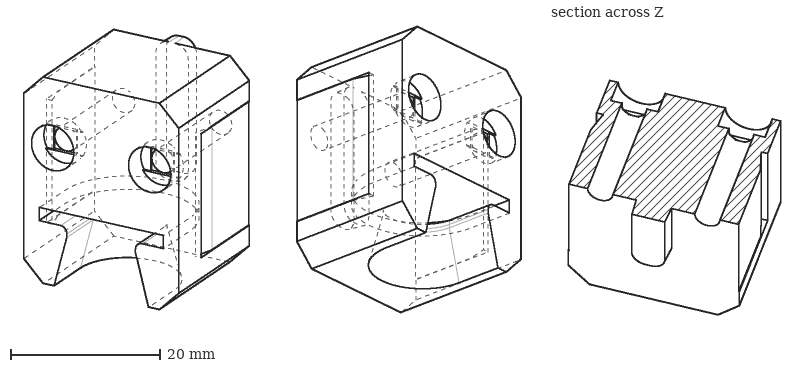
import cadquery as cq

block_width = 24.0
block_depth = 18.9
block_height = 30.0
corner_chamfer = 3.0

rail_length = 2.52
rail_width = 5.0
rail_height = 20.0
rail_taper = 0.18
rail_corner_radius = 1.98

screw_spacing = 15.0
screw_height = 20.0
screw_diameter = 3.48
head_diameter = 6.55
head_depth = 3.0
bridge_step = 0.3

slot_straight = 7.0
flange_radius = 9.6
flange_bottom = 9.0
flange_top = 10.92
mouth_radius = 7.3
neck_radius = 5.3
neck_bottom = 7.5
lip_radius = 1.0

grip_bottom = 6.0
grip_top = 24.0
grip_flat_length = 9.9
grip_ramp_length = 3.0
grip_shallow = 0.1
grip_deep = 0.9


def make_block():
    block = cq.Workplane("XY").box(block_width, block_depth, block_height, centered=(True, False, False))
    return block.edges("|Y").chamfer(corner_chamfer)


def make_rail():
    """Tapered bar on the rear face with rounded lengthwise edges."""
    root_middle = block_height - rail_height / 2
    tip_height = rail_height - rail_taper
    tip_middle = block_height - tip_height / 2
    bar = (
        cq.Workplane("XZ", origin=(0, block_depth, 0))
        .center(0, root_middle)
        .rect(rail_width, rail_height)
        .workplane(offset=-rail_length)
        .center(0, tip_middle - root_middle)
        .rect(rail_width - 2 * rail_taper, tip_height)
        .loft(ruled=True)
    )
    lengthwise_edges = bar.edges("not(<Y or >Y)")
    return lengthwise_edges.fillet(rail_corner_radius)


def make_screw_cutter(x):
    """Head recess, then a slot step, a square step and the through hole."""
    face = cq.Workplane("XZ", origin=(x, 0, screw_height))
    head = face.circle(head_diameter / 2).extrude(-head_depth)
    slot_end = head_depth + bridge_step
    square_end = slot_end + bridge_step
    slot_bar = face.rect(head_diameter, screw_diameter).extrude(-slot_end)
    slot_step = slot_bar.intersect(face.circle(head_diameter / 2).extrude(-slot_end))
    square_step = face.rect(screw_diameter, screw_diameter).extrude(-square_end)
    hole = face.circle(screw_diameter / 2).extrude(-block_depth)
    return head.union(slot_step).union(square_step).union(hole)


def slot_half_profile(plane):
    """Half section of the slot: flared mouth, neck, rounded lip and wide flange space."""
    lip_start = flange_bottom - lip_radius
    lip_middle = lip_radius * (1 - 0.5 ** 0.5)
    return (
        plane.moveTo(0, 0)
        .lineTo(mouth_radius, 0)
        .lineTo(neck_radius, neck_bottom)
        .lineTo(neck_radius, lip_start)
        .threePointArc(
            (neck_radius + lip_middle, flange_bottom - lip_middle),
            (neck_radius + lip_radius, flange_bottom),
        )
        .lineTo(flange_radius, flange_bottom)
        .lineTo(flange_radius, flange_top)
        .lineTo(0, flange_top)
        .close()
    )


def make_slot_cutter():
    inner_plane = cq.Workplane("XZ", origin=(0, slot_straight, 0))
    straight_half = slot_half_profile(inner_plane).extrude(slot_straight)
    round_end = slot_half_profile(inner_plane).revolve(360, (0, 0), (0, 1))
    return round_end.union(straight_half).union(straight_half.mirror("YZ"))


def make_grip_cutter():
    """Shallow flat running in from the rear, then a ramp down to a steep front wall."""
    side = -block_width / 2
    ramp_start = block_depth - grip_flat_length
    ramp_end = ramp_start - grip_ramp_length
    return (
        cq.Workplane("XY", origin=(0, 0, grip_bottom))
        .moveTo(side, block_depth)
        .lineTo(side + grip_shallow, block_depth)
        .lineTo(side + grip_shallow, ramp_start)
        .lineTo(side + grip_deep, ramp_end)
        .lineTo(side, ramp_end)
        .close()
        .extrude(grip_top - grip_bottom)
    )


result = make_block().union(make_rail())
result = result.cut(make_slot_cutter())

for screw_x in (-screw_spacing / 2, screw_spacing / 2):
    result = result.cut(make_screw_cutter(screw_x))

left_grip = make_grip_cutter()
result = result.cut(left_grip).cut(left_grip.mirror("YZ"))